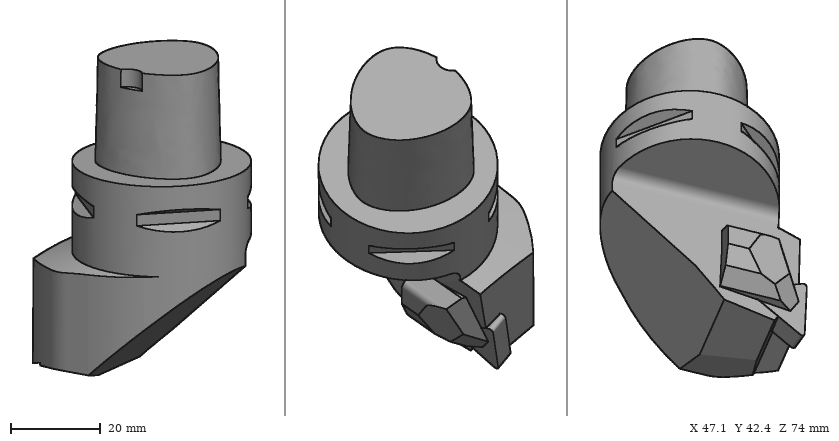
import cadquery as cq
import math


SHANK_HEIGHT = 24.05
SHANK_BASE_RADIUS = 14.05
SHANK_TOP_RADIUS = 13.5
LOBE_HEIGHT = 0.8
OUTLINE_POINTS = 36
KEY_RADIUS = 3.4
KEY_CENTRE_Y = -14.4
KEY_DEPTH = 4.15

FLANGE_DIAMETER = 40.0
FLANGE_RADIUS = FLANGE_DIAMETER / 2
FLANGE_HEIGHT = 21.0
GROOVE_Z = -8.1
GROOVE_FLOOR_DISTANCE = 17.6
GROOVE_FLOOR_WIDTH = 2.6
GROOVE_MOUTH_WIDTH = 5.2

TOTAL_HEIGHT = 74.0
BOTTOM_Z = SHANK_HEIGHT - TOTAL_HEIGHT
HEAD_LEFT = -25.4
HEAD_LEFT_TOP = -24.9
TOTAL_DEPTH = 42.4
HEAD_FRONT = FLANGE_RADIUS - TOTAL_DEPTH
HEAD_CORNER_Y = -13.8
SHOULDER_SLOPE = 0.25
SHOULDER_RADIUS = 33.3
SLANT_TOP_Z = -22.0
BEVEL_START = (-13.8, -47.8)
BEVEL_SLOPE = 0.3

STEP_Y = 4.15
STEP_RADIUS = 2.95
STEP_EDGE_Z = -16.05
STEP_ROOT_Z = -17.3
RAKE_POINT = (-24.95, 3.3, -22.2)
RAKE_SLOPE_X = 0.12
RAKE_SLOPE_Z = 0.12

CLAMP_LEFT = -26.65
CLAMP_RIGHT = -6.15
FLANK_POINT = (-23.45, 3.3, -38.5)
FLANK_NORMAL = (-1, 0.6, 0.25)
CROWN_POINT = (-20.5, 6.3, -33.75)
CROWN_NORMAL = (-0.3, 1, -0.14)
NOSE_POINT = (-21.45, 5.85, -36.55)
NOSE_NORMAL = (-1, 1.3, -0.6)
CLAMP_TOP_Y = 8.8
CLAMP_FOOT_Y = 0.4

INSERT_EDGE = 16.5
INSERT_THICKNESS = 4.8
INSERT_CORNER_RADIUS = 0.8
INSERT_LEFT = -27.15
INSERT_TIP_Z = -50.55
INSERT_TURN = 1.0

CUT = 88.8


def lobed_outline(mean_radius):
    """Points of a constant-width curve with three lobes, one of them on +Y."""
    points = []
    for i in range(OUTLINE_POINTS):
        angle = 2 * math.pi * i / OUTLINE_POINTS
        phase = 3 * (angle - math.pi / 2)
        reach = mean_radius + LOBE_HEIGHT * math.cos(phase)
        drift = -3 * LOBE_HEIGHT * math.sin(phase)
        points.append((
            reach * math.cos(angle) - drift * math.sin(angle),
            reach * math.sin(angle) + drift * math.cos(angle),
        ))
    return points


def make_shank():
    shank = (
        cq.Workplane("XY")
        .spline(lobed_outline(SHANK_BASE_RADIUS), periodic=True).close()
        .workplane(offset=SHANK_HEIGHT)
        .spline(lobed_outline(SHANK_TOP_RADIUS), periodic=True).close()
        .loft(ruled=True)
    )
    key = (
        cq.Workplane("XY", origin=(0, KEY_CENTRE_Y, SHANK_HEIGHT))
        .circle(KEY_RADIUS)
        .extrude(-KEY_DEPTH)
    )
    return shank.cut(key)


def cut_gripper_grooves(flange):
    floor = GROOVE_FLOOR_WIDTH / 2
    mouth = GROOVE_MOUTH_WIDTH / 2
    groove = (
        cq.Workplane("XZ", origin=(0, 0, GROOVE_Z))
        .polyline([
            (GROOVE_FLOOR_DISTANCE, -floor),
            (FLANGE_RADIUS, -mouth),
            (FLANGE_RADIUS, mouth),
            (GROOVE_FLOOR_DISTANCE, floor),
        ])
        .close()
        .extrude(FLANGE_RADIUS, both=True)
    )
    for quarter in range(4):
        flange = flange.cut(groove.rotate((0, 0, 0), (0, 0, 1), 45 + 90 * quarter))
    return flange


def make_head_bulge():
    """Part of the head that stands out beyond the flange, under a conical shoulder."""
    join_x = 10.15
    join_y = -math.sqrt(FLANGE_RADIUS**2 - join_x**2)
    plan = (
        cq.Workplane("XY", origin=(0, 0, BOTTOM_Z))
        .moveTo(HEAD_LEFT, STEP_Y)
        .lineTo(HEAD_LEFT, HEAD_CORNER_Y)
        .threePointArc((-20.7, -17.9), (-15.3, -21.4))
        .threePointArc((-13.3, -22.1), (-11.2, HEAD_FRONT))
        .lineTo(-5.25, HEAD_FRONT)
        .threePointArc((1.3, -21.5), (7.6, -18.95))
        .lineTo(join_x, join_y)
        .lineTo(0, STEP_Y)
        .close()
        .extrude(-BOTTOM_Z)
    )
    shoulder_edge = -FLANGE_HEIGHT - SHOULDER_SLOPE * (SHOULDER_RADIUS - FLANGE_RADIUS)
    shoulder_apex = -FLANGE_HEIGHT + SHOULDER_SLOPE * FLANGE_RADIUS
    shoulder = (
        cq.Workplane("XZ")
        .polyline([
            (0, BOTTOM_Z),
            (SHOULDER_RADIUS, BOTTOM_Z),
            (SHOULDER_RADIUS, shoulder_edge),
            (0, shoulder_apex),
        ])
        .close()
        .revolve(360, (0, 0), (0, 1))
    )
    return plan.intersect(shoulder)


def make_side_profile():
    """Outline of the flange and head along Y, with the slanting cut on the +X side."""
    return (
        cq.Workplane("XZ")
        .polyline([
            (HEAD_LEFT_TOP, 0),
            (HEAD_LEFT_TOP, -FLANGE_HEIGHT),
            (HEAD_LEFT, -47.8),
            (-21.0, -46.0),
            (-19.7, -48.4),
            (-7.3, -47.4),
            (-5.25, -45.35),
            (FLANGE_RADIUS, SLANT_TOP_Z),
            (CUT, SLANT_TOP_Z),
            (CUT, 0),
        ])
        .close()
        .extrude(CUT, both=True)
    )


def make_bottom_bevel():
    start_y, start_z = BEVEL_START
    run = 14.8
    return (
        cq.Workplane("YZ")
        .polyline([
            (start_y + run, start_z - BEVEL_SLOPE * run),
            (start_y - run, start_z + BEVEL_SLOPE * run),
            (start_y - run, start_z - BEVEL_SLOPE * run),
        ])
        .close()
        .extrude(CUT, both=True)
    )


def make_step():
    """Space behind the head, with a rounded root under the flange."""
    return (
        cq.Workplane("YZ")
        .polyline([
            (STEP_Y, BOTTOM_Z),
            (STEP_Y, STEP_ROOT_Z),
            (FLANGE_RADIUS, STEP_EDGE_Z),
            (FLANGE_RADIUS, BOTTOM_Z),
        ])
        .close()
        .extrude(CUT, both=True)
        .edges(cq.selectors.NearestToPointSelector((0, STEP_Y, STEP_ROOT_Z)))
        .fillet(STEP_RADIUS)
    )


def rake_y(x, z):
    """Y of the rake plane at the given X and Z."""
    x0, y0, z0 = RAKE_POINT
    return y0 + RAKE_SLOPE_X * (x - x0) + RAKE_SLOPE_Z * (z - z0)


def rake_plane(x, z):
    """Frame on the rake plane, its x direction towards -X and its normal pointing out."""
    return cq.Plane(
        origin=(x, rake_y(x, z), z),
        xDir=(-1, -RAKE_SLOPE_X, 0),
        normal=(-RAKE_SLOPE_X, 1, -RAKE_SLOPE_Z),
    )


def make_rake_space():
    block = cq.Workplane(rake_plane(RAKE_POINT[0], RAKE_POINT[2])).rect(CUT, CUT).extrude(CUT)
    below_flange = (
        cq.Workplane("XY", origin=(0, 0, -FLANGE_HEIGHT))
        .rect(CUT, CUT)
        .extrude(-CUT)
    )
    return block.intersect(below_flange)


def half_space(point, normal):
    """Large block on the side of a plane that its normal points to."""
    return cq.Workplane(cq.Plane(origin=point, normal=normal)).rect(CUT, CUT).extrude(CUT)


def make_clamp():
    clamp = (
        cq.Workplane("YZ", origin=(CLAMP_LEFT, 0, 0))
        .moveTo(CLAMP_FOOT_Y, -26.85)
        .lineTo(STEP_Y, -26.85)
        .lineTo(7.55, -28.85)
        .threePointArc((8.5, -29.6), (CLAMP_TOP_Y, -30.7))
        .lineTo(CLAMP_TOP_Y, -35.9)
        .lineTo(7.0, -41.2)
        .lineTo(3.2, -44.1)
        .lineTo(CLAMP_FOOT_Y, -44.1)
        .close()
        .extrude(CLAMP_RIGHT - CLAMP_LEFT)
    )
    facets = [
        (FLANK_POINT, FLANK_NORMAL),
        (CROWN_POINT, CROWN_NORMAL),
        (NOSE_POINT, NOSE_NORMAL),
    ]
    for point, normal in facets:
        clamp = clamp.cut(half_space(point, normal))
    return clamp


def make_insert():
    tip = cq.Workplane(rake_plane(INSERT_LEFT, INSERT_TIP_Z))
    height = INSERT_EDGE * math.sin(math.radians(60))
    return (
        tip.transformed(rotate=(0, 0, INSERT_TURN))
        .polyline([(0, 0), (0, INSERT_EDGE), (-height, INSERT_EDGE / 2)])
        .close()
        .extrude(-INSERT_THICKNESS)
        .edges(cq.selectors.ParallelDirSelector(tip.plane.zDir))
        .fillet(INSERT_CORNER_RADIUS)
    )


def make_holder(insert):
    body = cq.Workplane("XY").circle(FLANGE_RADIUS).extrude(BOTTOM_Z)
    body = body.union(make_head_bulge()).intersect(make_side_profile()).cut(make_bottom_bevel())
    body = body.cut(make_step()).cut(make_rake_space())
    body = cut_gripper_grooves(body)
    return body.union(make_shank()).union(make_clamp()).cut(insert)


insert = make_insert()
holder = make_holder(insert)
result = cq.Compound.makeCompound([holder.solids().val(), insert.solids().val()])